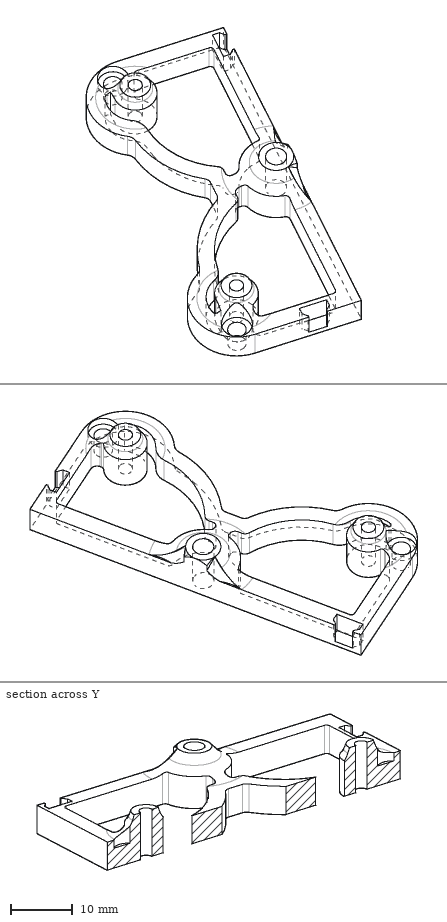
import cadquery as cq
import math

length = 60.0
half_length = length / 2
frame_height = 5.05
total_height = 8.4
skirt_height = total_height - frame_height
side_wall = 3.0
back_wall = 3.1
inner_wall_x = -half_length + side_wall
wall_corner_radius = 0.6

lobe_radius = 8.0
lobe_inner_radius = 4.9
lobe_x = -half_length + lobe_radius
lobe_y = -18.6

boss_radius = 3.55
boss_top_radius = 2.49
boss_hole_diameter = 2.3
boss_flank_angle = 69.0
bridge_top_y = -17.15
bridge_fillet = 1.15
slot_end_x = -24.0
slot_end_fillet = 0.6

screw_x = inner_wall_x
screw_y = -20.5
screw_hole_diameter = 3.0
counterbore_diameter = 5.0
counterbore_floor = 3.6

hub_y = -2.85
hub_radius = 6.05
hub_top_radius = 2.85
hub_hole_diameter = 3.4
hub_flank_angle = 45.0
hub_wall_fillet = 0.7
hub_bevel_y = -1.8
hub_bevel_angle = 45.0

arm_x = -16.85
arm_y = -4.8
arm_outer_radius = 17.3
arm_inner_radius = 14.45
arm_start_x = -17.4
bar_front_y = -13.75
bar_back_y = -10.8
stem_half_width = 1.4
stem_fillet = 0.9
arm_fillet = 1.2
lobe_arm_inner_fillet = 3.0
lobe_arm_outer_fillet = 1.8

skirt_tangent = 2.65

pocket_width = 4.75
pocket_mouth = 3.25
pocket_reach = 2.2
pocket_shoulder = 1.0
pocket_lip = 0.3
pocket_depth = 4.0
back_pocket_x = -26.9
side_pocket_y = -7.55


def block(x0, x1, y0, y1, height):
    return cq.Workplane("XY").box(x1 - x0, y1 - y0, height, centered=False).translate((x0, y0, 0))


def disk(x, y, radius, height):
    return cq.Workplane("XY").center(x, y).circle(radius).extrude(height)


def near(x, y, reach=0.5):
    """Select the vertical edge standing at (x, y)."""
    return cq.selectors.BoxSelector((x - reach, y - reach, -0.6), (x + reach, y + reach, total_height + 0.6))


def left_half(height):
    """Left half of the frame outline, extruded and with its vertical corners rounded."""
    lobe_disk = disk(lobe_x, lobe_y, lobe_radius, height)
    lobe_inner = disk(lobe_x, lobe_y, lobe_inner_radius, height)
    arm_inner = disk(arm_x, arm_y, arm_inner_radius, height)

    lobe = lobe_disk.cut(lobe_inner).cut(arm_inner)
    lobe = lobe.intersect(block(-half_length, 0, lobe_y - lobe_radius, lobe_y, height))
    arm = disk(arm_x, arm_y, arm_outer_radius, height).cut(arm_inner).cut(lobe_inner)
    arm = arm.intersect(block(arm_start_x, 0, -half_length, bar_back_y, height))
    bar_end_x = arm_x + math.sqrt(arm_inner_radius**2 - (bar_back_y - arm_y) ** 2)
    bar_front_x = arm_x + math.sqrt(arm_outer_radius**2 - (bar_front_y - arm_y) ** 2)
    bar = block(bar_front_x, 0, bar_front_y, bar_back_y, height)
    stem = block(-stem_half_width, 0, bar_back_y, hub_y, height)
    hub = disk(0, hub_y, hub_radius, height).intersect(block(-half_length, 0, -half_length, 0, height))

    boss = disk(lobe_x, lobe_y, boss_radius, height)
    bridge = block(inner_wall_x, lobe_x, lobe_y - boss_radius, bridge_top_y, height)
    slot_end = block(inner_wall_x, slot_end_x, lobe_y - lobe_radius, lobe_y, height).intersect(lobe_disk)

    half = block(-half_length, 0, -back_wall, 0, height)
    half = half.union(block(-half_length, inner_wall_x, lobe_y, 0, height))
    for piece in (lobe, arm, bar, stem, hub, boss, bridge, slot_end):
        half = half.union(piece)

    hub_wall_x = -math.sqrt(hub_radius**2 - (back_wall + hub_y) ** 2)
    stem_hub_y = hub_y - math.sqrt(hub_radius**2 - stem_half_width**2)
    slot_end_y = lobe_y - math.sqrt(lobe_inner_radius**2 - (slot_end_x - lobe_x) ** 2)
    boss_bridge_x = lobe_x - math.sqrt(boss_radius**2 - (bridge_top_y - lobe_y) ** 2)

    def lobe_arm_crossing(lobe_r, arm_r):
        """Front right-hand crossing of a lobe circle and an arm circle."""
        dx = lobe_x - arm_x
        dy = lobe_y - arm_y
        gap = math.hypot(dx, dy)
        along = (gap**2 + arm_r**2 - lobe_r**2) / (2 * gap)
        across = math.sqrt(arm_r**2 - along**2)
        return (arm_x + (along * dx - across * dy) / gap, arm_y + (along * dy + across * dx) / gap)

    corners = [
        (inner_wall_x, -back_wall, wall_corner_radius),
        (inner_wall_x, bridge_top_y, bridge_fillet),
        (boss_bridge_x, bridge_top_y, wall_corner_radius),
        (slot_end_x, slot_end_y, slot_end_fillet),
        (hub_wall_x, -back_wall, hub_wall_fillet),
        (-stem_half_width, stem_hub_y, stem_fillet),
        (-stem_half_width, bar_back_y, stem_fillet),
        (bar_end_x, bar_back_y, arm_fillet),
        (bar_front_x, bar_front_y, arm_fillet),
        (*lobe_arm_crossing(lobe_inner_radius, arm_inner_radius), lobe_arm_inner_fillet),
        (*lobe_arm_crossing(lobe_radius, arm_outer_radius), lobe_arm_outer_fillet),
    ]
    for x, y, radius in corners:
        half = half.edges("|Z").edges(near(x, y)).fillet(radius)
    return half


def frame(height):
    half = left_half(height)
    return half.union(half.mirror("YZ"))


def skirt(x, y, top_radius, flank_angle):
    """Conical post whose flank runs out tangentially onto the frame top."""
    slope = math.radians(flank_angle)
    corner_radius = top_radius + skirt_height / math.tan(slope)
    arc_radius = skirt_tangent / math.tan(slope / 2)
    foot_radius = corner_radius + skirt_tangent
    start = (
        corner_radius - skirt_tangent * math.cos(slope),
        frame_height + skirt_tangent * math.sin(slope),
    )
    middle = (
        foot_radius - arc_radius * math.sin(slope / 2),
        frame_height + arc_radius * (1 - math.cos(slope / 2)),
    )
    profile = (
        cq.Workplane("XZ")
        .moveTo(0, 0)
        .lineTo(0, total_height)
        .lineTo(top_radius, total_height)
        .lineTo(*start)
        .threePointArc(middle, (foot_radius, frame_height))
        .lineTo(foot_radius, 0)
        .close()
    )
    return profile.revolve(360, (0, 0, 0), (0, 1, 0)).translate((x, y, 0))


def pocket():
    """Dovetail pocket opening toward +Y, centred on the origin."""
    half_width = pocket_width / 2
    half_mouth = pocket_mouth / 2
    outline = [
        (-half_mouth, 0),
        (-half_mouth, -pocket_lip),
        (-half_width, -pocket_shoulder),
        (-half_width, -pocket_reach),
        (half_width, -pocket_reach),
        (half_width, -pocket_shoulder),
        (half_mouth, -pocket_lip),
        (half_mouth, 0),
    ]
    floor = frame_height - pocket_depth
    return cq.Workplane("XY").workplane(offset=floor).polyline(outline).close().extrude(pocket_depth)


def hub_bevel():
    """Cutter for the edge between the hub skirt and the back face, on the +X side.

    Its concave lower side follows the skirt from the top rim to the foot on the
    back face, and slopes down toward the back.
    """
    slope = math.radians(hub_flank_angle)
    arc_radius = skirt_tangent / math.tan(slope / 2)
    foot_radius = hub_top_radius + skirt_height / math.tan(slope) + skirt_tangent
    rim_x = math.sqrt(hub_top_radius**2 - (hub_bevel_y - hub_y) ** 2)
    foot_x = math.sqrt(foot_radius**2 - hub_y**2)
    middle_x = (rim_x + foot_x) / 2
    middle_y = hub_bevel_y / 2
    inset = foot_radius - math.hypot(middle_x, middle_y - hub_y)
    middle_z = frame_height + arc_radius - math.sqrt(arc_radius**2 - inset**2)

    rim = cq.Vector(rim_x, hub_bevel_y, total_height)
    middle = cq.Vector(middle_x, middle_y, middle_z)
    foot = cq.Vector(foot_x, 0, frame_height)
    above_foot = cq.Vector(foot_x, 0, 2 * total_height)
    above_rim = cq.Vector(rim_x, hub_bevel_y, 2 * total_height)
    outline = cq.Wire.assembleEdges([
        cq.Edge.makeThreePointArc(rim, middle, foot),
        cq.Edge.makeLine(foot, above_foot),
        cq.Edge.makeLine(above_foot, above_rim),
        cq.Edge.makeLine(above_rim, rim),
    ])
    across = cq.Vector(hub_bevel_y, foot_x - rim_x, 0).normalized()
    drop = cq.Vector(0, 0, -math.tan(math.radians(hub_bevel_angle)))
    return cq.Workplane(cq.Solid.extrudeLinear(outline, [], (across + drop) * hub_radius))


def hub_post():
    """Hub skirt beveled along the back face, with its round top rim kept whole."""
    bevel = hub_bevel()
    above_frame = block(-half_length, half_length, -half_length, half_length, total_height)
    bevel = bevel.intersect(above_frame.translate((0, 0, frame_height)))
    post = skirt(0, hub_y, hub_top_radius, hub_flank_angle)
    post = post.intersect(block(-half_length, half_length, -half_length, 0, total_height))
    post = post.cut(bevel).cut(bevel.mirror("YZ"))
    return post.union(disk(0, hub_y, hub_top_radius, total_height))


posts = hub_post()
for side in (-1, 1):
    posts = posts.union(skirt(-side * lobe_x, lobe_y, boss_top_radius, boss_flank_angle))
result = frame(frame_height).union(frame(total_height).intersect(posts))

result = result.cut(disk(0, hub_y, hub_hole_diameter / 2, total_height))
for side in (-1, 1):
    result = result.cut(disk(side * lobe_x, lobe_y, boss_hole_diameter / 2, total_height))
    result = result.cut(disk(side * screw_x, screw_y, screw_hole_diameter / 2, total_height))
    counterbore = disk(side * screw_x, screw_y, counterbore_diameter / 2, total_height)
    result = result.cut(counterbore.translate((0, 0, counterbore_floor)))

result = result.cut(pocket().translate((back_pocket_x, 0, 0)))
side_pocket = pocket().rotate((0, 0, 0), (0, 0, 1), -90)
result = result.cut(side_pocket.translate((half_length, side_pocket_y, 0)))